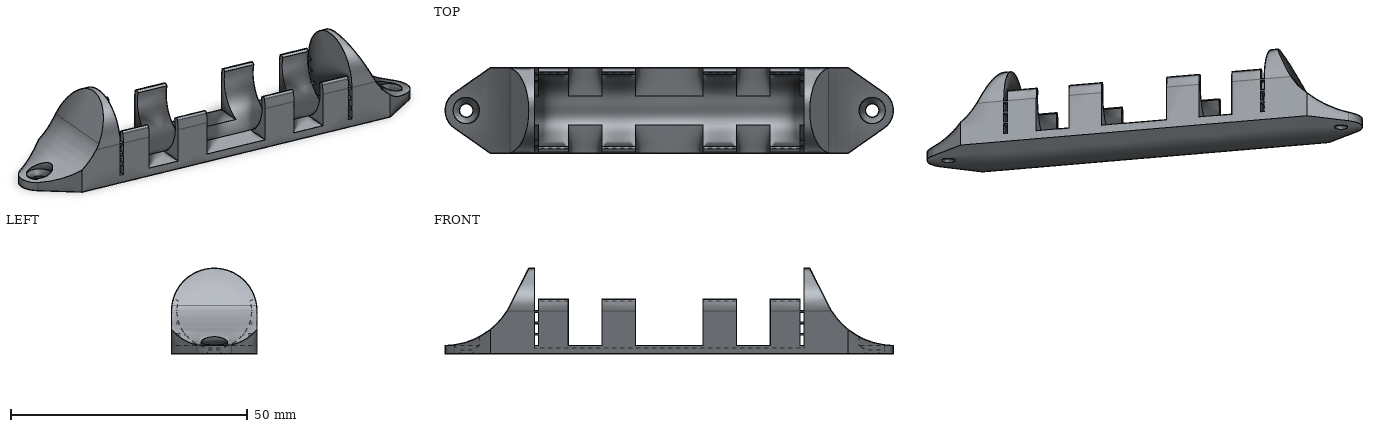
import cadquery as cq
import math


total_length = 94.95
width = 18.14
cell_bay_length = 57.0
bore_radius = 7.9
floor_thickness = 1.8

ear_radius = 4.5
ear_shoulder_x = 37.9
screw_diameter = 2.8
screw_head_diameter = 5.56
countersink_depth = 1.0

stop_crest_thickness = 1.25
slope_radius = 15.4
slope_angle = math.radians(63.2)

clip_pitch = cell_bay_length / 8
clip_shoulder_height = 11.15
clip_crest_height = 11.55
clip_crest_y = 8.15
clip_lip_height = 11.15
clip_rounding_radius = 0.6
relief_gap = 0.8

tab_thickness = 0.4
lowest_tab_height = 4.15
tab_pitch = 2.4
tab_count = 3

half_length = total_length / 2
half_width = width / 2
axis_height = half_width
bay_end_x = cell_bay_length / 2
ear_center_x = half_length - ear_radius
stop_crest_x = bay_end_x + stop_crest_thickness


def box_between(x_min, x_max, y_min, y_max, z_min, z_max):
    """Box given by its limits along each axis."""
    size = (x_max - x_min, y_max - y_min, z_max - z_min)
    return cq.Workplane("XY").box(*size, centered=False).translate((x_min, y_min, z_min))


def x_cylinder(radius):
    """Cylinder along the cell axis, spanning the whole part."""
    return (
        cq.Workplane("YZ", origin=(-half_length, 0, axis_height))
        .circle(radius)
        .extrude(total_length)
    )


def plan_body():
    """Footprint with tapered, rounded ears, extruded to the full height."""
    reach_x = ear_center_x - ear_shoulder_x
    reach_y = half_width
    tangent_angle = math.atan2(reach_y, -reach_x) - math.acos(ear_radius / math.hypot(reach_x, reach_y))
    tangent_x = ear_center_x + ear_radius * math.cos(tangent_angle)
    tangent_y = ear_radius * math.sin(tangent_angle)
    return (
        cq.Workplane("XY")
        .moveTo(-ear_shoulder_x, half_width)
        .lineTo(ear_shoulder_x, half_width)
        .lineTo(tangent_x, tangent_y)
        .threePointArc((half_length, 0), (tangent_x, -tangent_y))
        .lineTo(ear_shoulder_x, -half_width)
        .lineTo(-ear_shoulder_x, -half_width)
        .lineTo(-tangent_x, -tangent_y)
        .threePointArc((-half_length, 0), (-tangent_x, tangent_y))
        .close()
        .extrude(width)
    )


def cross_section_envelope():
    """Square lower half with a semicircular top, along the whole part."""
    lower_half = box_between(-half_length, half_length, -half_width, half_width, 0, axis_height)
    return lower_half.union(x_cylinder(half_width))


def side_envelope():
    """Lengthwise profile: concave ramps rising from the ear tips to the stop crests."""

    def ramp_point(angle):
        x = half_length - slope_radius * math.sin(angle)
        return x, floor_thickness + slope_radius * (1 - math.cos(angle))

    middle_x, middle_z = ramp_point(slope_angle / 2)
    upper_x, upper_z = ramp_point(slope_angle)
    return (
        cq.Workplane("XZ", origin=(0, half_width, 0))
        .moveTo(-half_length, 0)
        .lineTo(half_length, 0)
        .lineTo(half_length, floor_thickness)
        .threePointArc((middle_x, middle_z), (upper_x, upper_z))
        .lineTo(stop_crest_x, width)
        .lineTo(-stop_crest_x, width)
        .lineTo(-upper_x, upper_z)
        .threePointArc((-middle_x, middle_z), (-half_length, floor_thickness))
        .close()
        .extrude(width)
    )


def cell_bore():
    """Round seat for the cell, ending flat against both stops."""
    return (
        cq.Workplane("YZ", origin=(-bay_end_x, 0, axis_height))
        .circle(bore_radius)
        .extrude(cell_bay_length)
    )


def circle_y(radius, height):
    """Distance from the middle plane of a bay circle at the given height."""
    return math.sqrt(radius**2 - (height - axis_height) ** 2)


def clip_top_cut():
    """Space above the clips, whose crests are rounded outside and bevelled inside."""
    shoulder_y = circle_y(half_width, clip_shoulder_height)
    lip_y = circle_y(bore_radius, clip_lip_height)
    half_cut = (
        cq.Workplane("YZ", origin=(-bay_end_x, 0, 0))
        .moveTo(shoulder_y, clip_shoulder_height)
        .radiusArc((clip_crest_y, clip_crest_height), -clip_rounding_radius)
        .lineTo(lip_y, clip_lip_height)
        .lineTo(0, clip_lip_height)
        .lineTo(0, width)
        .lineTo(half_width, width)
        .lineTo(half_width, clip_shoulder_height)
        .close()
        .extrude(cell_bay_length)
    )
    return half_cut.union(half_cut.mirror("XZ"))


def clip_gap(x_min, x_max):
    """Gap between clips, cut across the whole width down to the floor."""
    return box_between(x_min, x_max, -half_width, half_width, floor_thickness, width)


def relief_cut(x_min, x_max):
    """Gap between a stop and its nearest clips, less the tabs left across it."""
    cut = clip_gap(x_min, x_max)
    for index in range(tab_count):
        tab_bottom = lowest_tab_height + index * tab_pitch - tab_thickness / 2
        tab_top = tab_bottom + tab_thickness
        cut = cut.cut(box_between(x_min, x_max, -half_width, half_width, tab_bottom, tab_top))
    return cut


def screw_hole(x):
    """Countersunk screw hole with clearance for the head above the cone."""
    shank = cq.Workplane("XY").circle(screw_diameter / 2).extrude(width)
    head = (
        cq.Workplane("XY", origin=(0, 0, floor_thickness - countersink_depth))
        .circle(screw_diameter / 2)
        .workplane(offset=countersink_depth)
        .circle(screw_head_diameter / 2)
        .loft()
    )
    clearance = (
        cq.Workplane("XY", origin=(0, 0, floor_thickness))
        .circle(screw_head_diameter / 2)
        .extrude(width)
    )
    return shank.union(head).union(clearance).translate((x, 0, 0))


result = plan_body().intersect(cross_section_envelope()).intersect(side_envelope())
result = result.cut(cell_bore()).cut(clip_top_cut())
result = result.cut(clip_gap(-clip_pitch, clip_pitch))
for side in (-1, 1):
    outer_gap = sorted((side * 2 * clip_pitch, side * 3 * clip_pitch))
    relief = sorted((side * bay_end_x, side * (bay_end_x - relief_gap)))
    result = result.cut(clip_gap(*outer_gap)).cut(relief_cut(*relief))
    result = result.cut(screw_hole(side * ear_center_x))